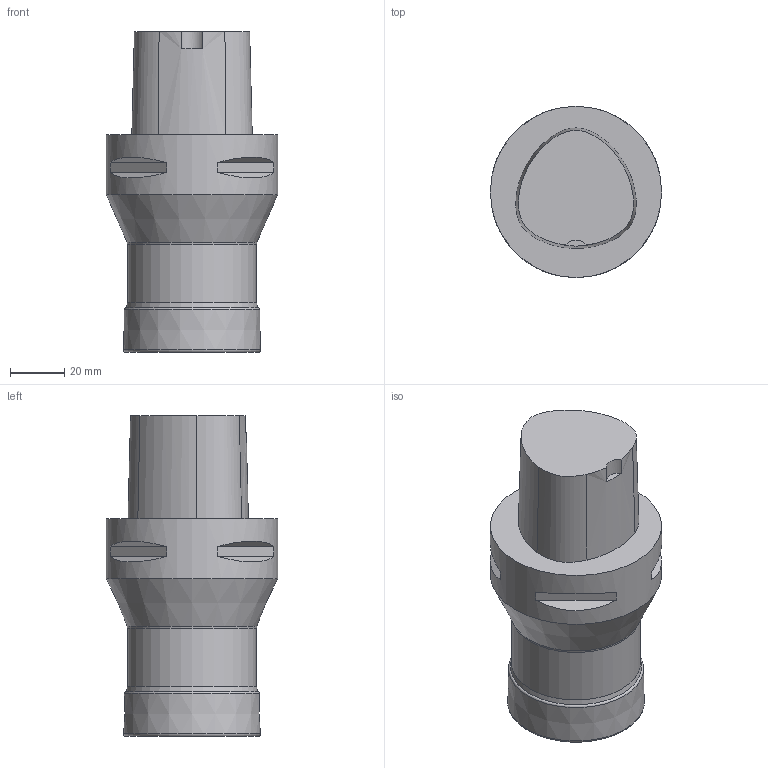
import cadquery as cq
import math

TOTAL_HEIGHT = 118.0
SHANK_LENGTH = 38.0
COLLAR_HEIGHT = 22.0
CONE_BOTTOM_Z = 40.5
NECK_TOP_Z = 39.8
NUT_TOP_Z = 18.4
NUT_SHOULDER_Z = 16.5
COLLAR_TOP_Z = TOTAL_HEIGHT - SHANK_LENGTH
COLLAR_BOTTOM_Z = COLLAR_TOP_Z - COLLAR_HEIGHT

COLLAR_RADIUS = 63.0 / 2
NECK_RADIUS = 47.42 / 2
CONE_BOTTOM_STEP = 0.1
CONE_BOTTOM_RADIUS = NECK_RADIUS + CONE_BOTTOM_STEP

NUT_BOTTOM_RADIUS = 25.15
NUT_TOP_RADIUS = 24.85
NUT_LIP_RADIUS = 24.1
NUT_TOP_ROUND = NUT_TOP_RADIUS - NUT_LIP_RADIUS
NUT_BOTTOM_ROUND = 0.9
ARC_MIDDLE_INSET = 1 - math.sqrt(0.5)

SHANK_BASE_RADIUS = 22.15
SHANK_TAPER = 1 / 20
SHANK_TIP_RADIUS = SHANK_BASE_RADIUS - SHANK_LENGTH * SHANK_TAPER / 2
LOBE_HEIGHT = 1.4
LOBE_COUNT = 3
LOBE_HALF_SPAN = math.radians(36)
LOBE_PITCH = 2 * math.pi / LOBE_COUNT
FIRST_LOBE_ANGLE = math.pi / 2
SPLINE_STEPS = 12

KEYWAY_RADIUS = 5.0
KEYWAY_FLOOR_Y = -17.8
KEYWAY_DEPTH = 6.3

GROOVE_COUNT = 4
GROOVE_FIRST_ANGLE = 45.0
GROOVE_DROP = 12.0
GROOVE_Z = COLLAR_TOP_Z - GROOVE_DROP
GROOVE_FLOOR_DISTANCE = 27.85
GROOVE_FLOOR_WIDTH = 3.6
GROOVE_WALL_ANGLE = math.radians(29)


def shank_point(mean_radius, angle, z):
    """Point where the outward normal of the three-lobed curve has the given angle."""
    phase = LOBE_COUNT * (angle - FIRST_LOBE_ANGLE)
    reach = mean_radius + LOBE_HEIGHT * math.cos(phase)
    slope = -LOBE_COUNT * LOBE_HEIGHT * math.sin(phase)
    x = reach * math.cos(angle) - slope * math.sin(angle)
    y = reach * math.sin(angle) + slope * math.cos(angle)
    return cq.Vector(x, y, z)


def shank_span(mean_radius, start, end, z):
    """Smooth edge along the three-lobed curve between two normal angles."""
    step = (end - start) / SPLINE_STEPS
    angles = [start + step * i for i in range(SPLINE_STEPS + 1)]
    return cq.Edge.makeSpline([shank_point(mean_radius, angle, z) for angle in angles])


def shank_outline(mean_radius, z):
    """Closed three-lobed outline, alternating lobes and flatter flanks."""
    edges = []
    for i in range(LOBE_COUNT):
        lobe_start = FIRST_LOBE_ANGLE + i * LOBE_PITCH - LOBE_HALF_SPAN
        lobe_end = lobe_start + 2 * LOBE_HALF_SPAN
        edges.append(shank_span(mean_radius, lobe_start, lobe_end, z))
        edges.append(shank_span(mean_radius, lobe_end, lobe_start + LOBE_PITCH, z))
    return cq.Wire.assembleEdges(edges)


def make_shank():
    base = shank_outline(SHANK_BASE_RADIUS, COLLAR_TOP_Z)
    tip = shank_outline(SHANK_TIP_RADIUS, TOTAL_HEIGHT)
    shank = cq.Workplane(cq.Solid.makeLoft([base, tip], True))
    keyway = (
        cq.Workplane("XY", origin=(0, KEYWAY_FLOOR_Y - KEYWAY_RADIUS, TOTAL_HEIGHT))
        .circle(KEYWAY_RADIUS)
        .extrude(-KEYWAY_DEPTH)
    )
    return shank.cut(keyway)


def make_gripper_groove(angle):
    """Straight groove cutter with sloped walls, at the given angle about Z."""
    depth = COLLAR_RADIUS - GROOVE_FLOOR_DISTANCE
    floor_half = GROOVE_FLOOR_WIDTH / 2
    mouth_half = floor_half + depth * math.tan(GROOVE_WALL_ANGLE)
    return (
        cq.Workplane("XZ")
        .moveTo(GROOVE_FLOOR_DISTANCE, GROOVE_Z - floor_half)
        .lineTo(COLLAR_RADIUS, GROOVE_Z - mouth_half)
        .lineTo(COLLAR_RADIUS, GROOVE_Z + mouth_half)
        .lineTo(GROOVE_FLOOR_DISTANCE, GROOVE_Z + floor_half)
        .close()
        .extrude(COLLAR_RADIUS, both=True)
        .rotate((0, 0, 0), (0, 0, 1), angle)
    )


def make_holder():
    """Collar, cone and neck turned as one piece with the shank on top."""
    turned = (
        cq.Workplane("XZ")
        .moveTo(0, NUT_TOP_Z)
        .lineTo(NECK_RADIUS, NUT_TOP_Z)
        .lineTo(NECK_RADIUS, NECK_TOP_Z)
        .lineTo(CONE_BOTTOM_RADIUS, CONE_BOTTOM_Z)
        .lineTo(COLLAR_RADIUS, COLLAR_BOTTOM_Z)
        .lineTo(COLLAR_RADIUS, COLLAR_TOP_Z)
        .lineTo(0, COLLAR_TOP_Z)
        .close()
        .revolve(360, (0, 0), (0, 1))
    )
    for i in range(GROOVE_COUNT):
        angle = GROOVE_FIRST_ANGLE + i * 360 / GROOVE_COUNT
        turned = turned.cut(make_gripper_groove(angle))
    return turned.union(make_shank())


def make_nut():
    """Slightly tapered clamping nut with rounded corners and a sloped lip under the neck."""
    bottom_inset = NUT_BOTTOM_ROUND * ARC_MIDDLE_INSET
    top_inset = NUT_TOP_ROUND * ARC_MIDDLE_INSET
    return (
        cq.Workplane("XZ")
        .lineTo(NUT_BOTTOM_RADIUS - NUT_BOTTOM_ROUND, 0)
        .threePointArc(
            (NUT_BOTTOM_RADIUS - bottom_inset, bottom_inset),
            (NUT_BOTTOM_RADIUS, NUT_BOTTOM_ROUND),
        )
        .lineTo(NUT_TOP_RADIUS, NUT_SHOULDER_Z - NUT_TOP_ROUND)
        .threePointArc(
            (NUT_TOP_RADIUS - top_inset, NUT_SHOULDER_Z - top_inset),
            (NUT_LIP_RADIUS, NUT_SHOULDER_Z),
        )
        .lineTo(NECK_RADIUS, NUT_TOP_Z)
        .lineTo(0, NUT_TOP_Z)
        .close()
        .revolve(360, (0, 0), (0, 1))
    )


holder = make_holder()
nut = make_nut()
result = cq.Compound.makeCompound([holder.val(), nut.val()])